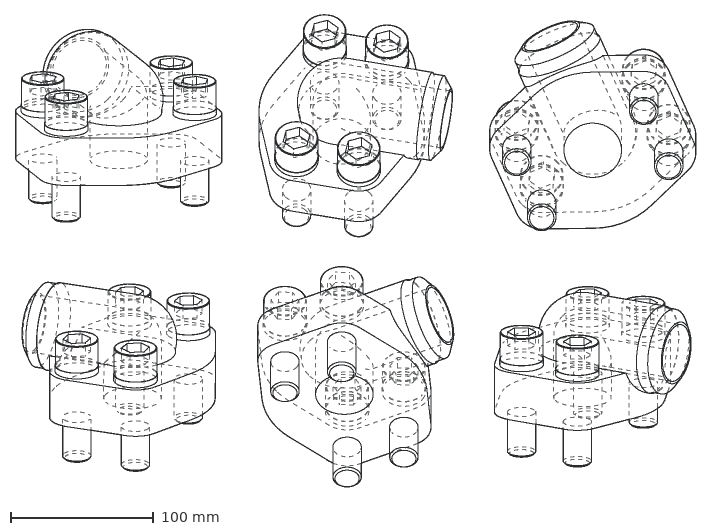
import cadquery as cq
import math

flange_height = 35.0
flange_radius = 58.0
flange_length = 135.0
bolt_spacing_x = 44.5
bolt_spacing_y = 96.8
bolt_x = bolt_spacing_x / 2
bolt_y = bolt_spacing_y / 2
corner_radius = flange_length / 2 - bolt_y

pipe_diameter = 62.2
bore_diameter = 40.4
pipe_axis_height = 45.0
pipe_end_x = -74.8
leg_diameter = 60.3

weld_end_diameter = 60.3
weld_face_diameter = 43.9
bevel_length = 6.3
weld_end_length = 14.8
shoulder_fillet = 0.7

shank_diameter = 20.0
shank_drop = 30.6
shank_chamfer = 1.5
head_diameter = 30.0
head_height = 20.0
head_chamfer = 0.5
socket_across_flats = 17.0
socket_depth = 10.0
socket_sides = 6
socket_turn = 180 / socket_sides
washer_diameter = 30.6
washer_height = 4.3


def make_flange():
    """Plate outlined by a central circle and four corner circles joined by tangent lines."""
    corner_distance = math.hypot(bolt_x, bolt_y)
    corner_direction = math.atan2(bolt_y, bolt_x)
    tangent_angle = corner_direction - math.acos((flange_radius - corner_radius) / corner_distance)
    arc_middle_angle = (tangent_angle + math.pi / 2) / 2

    def corner_point(angle, side_x, side_y):
        x = bolt_x + corner_radius * math.cos(angle)
        y = bolt_y + corner_radius * math.sin(angle)
        return side_x * x, side_y * y

    def side_point(side_x, side_y):
        x = flange_radius * math.cos(tangent_angle)
        y = flange_radius * math.sin(tangent_angle)
        return side_x * x, side_y * y

    def flat_end(side_x, side_y):
        return side_x * bolt_x, side_y * flange_length / 2

    outline = cq.Workplane("XY").moveTo(*flat_end(-1, 1))
    for side in (1, -1):
        outline = (
            outline.lineTo(*flat_end(side, side))
            .threePointArc(
                corner_point(arc_middle_angle, side, side),
                corner_point(tangent_angle, side, side),
            )
            .lineTo(*side_point(side, side))
            .threePointArc((side * flange_radius, 0), side_point(side, -side))
            .lineTo(*corner_point(tangent_angle, side, -side))
            .threePointArc(corner_point(arc_middle_angle, side, -side), flat_end(side, -side))
        )
    return outline.close().extrude(flange_height)


def make_elbow():
    """Solid pipe revolved about its axis, a ball at the turn and a leg down to the base."""
    weld_end_x = pipe_end_x + weld_end_length
    pipe = (
        cq.Workplane("XZ")
        .moveTo(pipe_end_x, 0)
        .lineTo(pipe_end_x, weld_face_diameter / 2)
        .lineTo(pipe_end_x + bevel_length, weld_end_diameter / 2)
        .lineTo(weld_end_x - shoulder_fillet, weld_end_diameter / 2)
        .radiusArc((weld_end_x, weld_end_diameter / 2 + shoulder_fillet), -shoulder_fillet)
        .lineTo(weld_end_x, pipe_diameter / 2)
        .lineTo(0, pipe_diameter / 2)
        .lineTo(0, 0)
        .close()
        .revolve(360, (0, 0, 0), (1, 0, 0))
        .translate((0, 0, pipe_axis_height))
    )
    ball = cq.Workplane("XY").sphere(pipe_diameter / 2).translate((0, 0, pipe_axis_height))
    leg = cq.Workplane("XY").circle(leg_diameter / 2).extrude(pipe_axis_height)
    return pipe.union(ball).union(leg)


def make_bore():
    """Passage from the weld end, round the turn and out through the base."""
    inlet = (
        cq.Workplane("YZ", origin=(pipe_end_x, 0, pipe_axis_height))
        .circle(bore_diameter / 2)
        .extrude(-pipe_end_x)
    )
    turn = cq.Workplane("XY").sphere(bore_diameter / 2).translate((0, 0, pipe_axis_height))
    outlet = cq.Workplane("XY").circle(bore_diameter / 2).extrude(pipe_axis_height)
    return inlet.union(turn).union(outlet)


def make_bolt():
    """Bolt and washer standing on the Z axis, with the flange base at height zero."""
    head_base = flange_height + washer_height
    shank = (
        cq.Workplane("XY", origin=(0, 0, -shank_drop))
        .circle(shank_diameter / 2)
        .extrude(shank_drop + head_base)
        .faces("<Z")
        .chamfer(shank_chamfer)
    )
    washer = (
        cq.Workplane("XY", origin=(0, 0, flange_height))
        .circle(washer_diameter / 2)
        .extrude(washer_height)
    )
    head = (
        cq.Workplane("XY", origin=(0, 0, head_base))
        .circle(head_diameter / 2)
        .extrude(head_height)
        .faces(">Z")
        .chamfer(head_chamfer)
    )
    socket_across_corners = socket_across_flats / math.cos(math.pi / socket_sides)
    socket = (
        cq.Workplane("XY", origin=(0, 0, head_base + head_height - socket_depth))
        .polygon(socket_sides, socket_across_corners)
        .extrude(socket_depth)
        .rotate((0, 0, 0), (0, 0, 1), socket_turn)
    )
    return shank.union(washer).union(head.cut(socket))


result = make_flange().union(make_elbow()).cut(make_bore())
bolt = make_bolt()
for x in (-bolt_x, bolt_x):
    for y in (-bolt_y, bolt_y):
        result = result.union(bolt.translate((x, y, 0)))